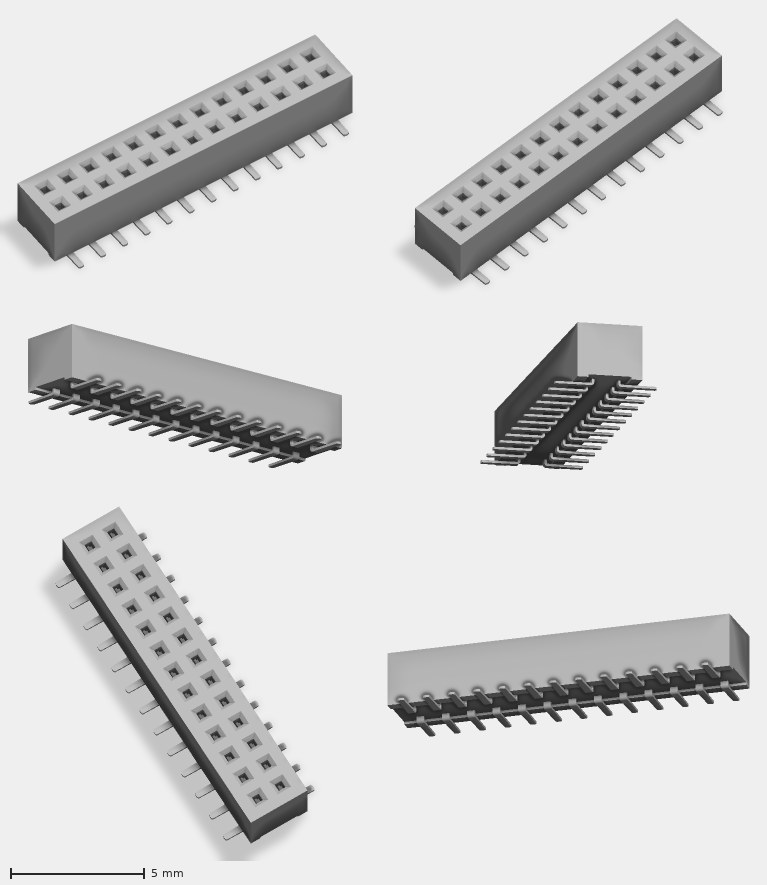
import cadquery as cq

PITCH = 1.0
ROWS = 13
END_MARGIN = 0.75
HOUSING_WIDTH = 2.5
HOUSING_LENGTH = (ROWS - 1) * PITCH + 2 * END_MARGIN
TOTAL_HEIGHT = 2.25
HOUSING_BOTTOM = 0.15
RECESS_WIDTH = 1.66
RECESS_ROOF = 0.25

POCKET_SPACING = 1.0
POCKET_MOUTH = 0.6
WELL_SIZE = 0.3
FUNNEL_DEPTH = 0.15
WELL_DEPTH = 0.5

CONTACT_SPAN = 3.95
CONTACT_THICKNESS = 0.09
CONTACT_WIDTH = 0.29
TIP_WIDTH = 0.245
TIP_BULGE = 0.04
LEG_SPACING = 1.02
BEND_INNER_RADIUS = 0.03
CONTACT_RISE = 0.2

WELL_FLOOR = TOTAL_HEIGHT - FUNNEL_DEPTH - WELL_DEPTH
CONTACT_TOP = WELL_FLOOR + CONTACT_RISE


def row_positions():
    """Y coordinate of every row, centred on the housing."""
    return [(row - (ROWS - 1) / 2) * PITCH for row in range(ROWS)]


def make_housing():
    """Rectangular block with a shallow channel along its underside."""
    block = cq.Workplane("XY").workplane(offset=HOUSING_BOTTOM).rect(HOUSING_WIDTH, HOUSING_LENGTH)
    block = block.extrude(TOTAL_HEIGHT - HOUSING_BOTTOM)
    channel = cq.Workplane("XY").workplane(offset=HOUSING_BOTTOM).rect(RECESS_WIDTH, HOUSING_LENGTH)
    return block.cut(channel.extrude(RECESS_ROOF - HOUSING_BOTTOM))


def make_pocket():
    """Tapered funnel leading into a square well, centred on the Z axis."""
    funnel = cq.Workplane("XY").workplane(offset=TOTAL_HEIGHT).rect(POCKET_MOUTH, POCKET_MOUTH)
    funnel = funnel.workplane(offset=-FUNNEL_DEPTH).rect(WELL_SIZE, WELL_SIZE).loft(ruled=True)
    well = cq.Workplane("XY").workplane(offset=WELL_FLOOR).rect(WELL_SIZE, WELL_SIZE)
    return funnel.union(well.extrude(WELL_DEPTH))


def make_contact():
    """Right-hand contact: upright leg, rounded bend, and a flat tail tapering to a rounded tip."""
    leg_inner = (LEG_SPACING - CONTACT_THICKNESS) / 2
    leg_outer = leg_inner + CONTACT_THICKNESS
    outer_radius = BEND_INNER_RADIUS + CONTACT_THICKNESS
    bend_end = leg_inner + outer_radius
    tail_end = CONTACT_SPAN / 2
    strip = (
        cq.Workplane("XZ", origin=(0, CONTACT_WIDTH / 2, 0))
        .moveTo(leg_inner, CONTACT_TOP)
        .lineTo(leg_inner, outer_radius)
        .radiusArc((bend_end, 0), -outer_radius)
        .lineTo(tail_end, 0)
        .lineTo(tail_end, CONTACT_THICKNESS)
        .lineTo(bend_end, CONTACT_THICKNESS)
        .radiusArc((leg_outer, outer_radius), BEND_INNER_RADIUS)
        .lineTo(leg_outer, CONTACT_TOP)
        .close()
        .extrude(CONTACT_WIDTH)
    )
    half_width = CONTACT_WIDTH / 2
    half_tip = TIP_WIDTH / 2
    plan = (
        cq.Workplane("XY")
        .moveTo(leg_inner, -half_width)
        .lineTo(bend_end, -half_width)
        .lineTo(tail_end - TIP_BULGE, -half_tip)
        .threePointArc((tail_end, 0), (tail_end - TIP_BULGE, half_tip))
        .lineTo(bend_end, half_width)
        .lineTo(leg_inner, half_width)
        .close()
        .extrude(CONTACT_TOP)
    )
    return strip.intersect(plan)


def build_connector():
    """Housing with a pocket and a contact on each side of every row, joined into one solid."""
    pocket = make_pocket().val()
    right_contact = make_contact().val()
    left_contact = right_contact.mirror("YZ")
    pockets = []
    contacts = []
    for y in row_positions():
        for side in (-1, 1):
            pockets.append(pocket.translate(cq.Vector(side * POCKET_SPACING / 2, y, 0)))
        for contact in (left_contact, right_contact):
            contacts.append(contact.translate(cq.Vector(0, y, 0)))
    housing = make_housing().val().cut(*pockets)
    return cq.Workplane(housing.fuse(*contacts))


result = build_connector()